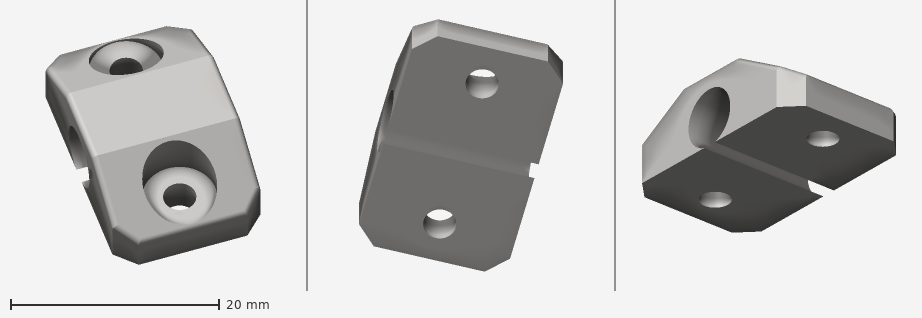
import cadquery as cq

length = 24.0
width = 15.0
height = 8.0

ridge_length = 8.0
end_height = 3.5

corner_chamfer = 2.0
rim_fillet = 0.6

bore_diameter = 6.2
bore_axis_height = 3.0

screw_spacing = 16.0
screw_diameter = 3.2
head_diameter = 7.2
head_seat_height = 3.5


def make_body():
    """Roofed profile run along Y, with chamfered corners and a rounded upper rim."""
    half_length = length / 2
    half_ridge = ridge_length / 2
    profile = [
        (-half_length, 0),
        (half_length, 0),
        (half_length, end_height),
        (half_ridge, height),
        (-half_ridge, height),
        (-half_length, end_height),
    ]
    body = cq.Workplane("XZ").polyline(profile).close().extrude(width / 2, both=True)
    body = body.edges("|Z").chamfer(corner_chamfer)

    rim = body.faces("#Z").edges("not(|Z or <Z)")
    return rim.fillet(rim_fillet)


def make_bore():
    """Cylinder that carries the clamped rod, running the full width."""
    return (
        cq.Workplane("XZ")
        .center(0, bore_axis_height)
        .circle(bore_diameter / 2)
        .extrude(width / 2, both=True)
    )


def make_screw_hole(x):
    """Through hole with a flat head seat that opens out through the sloped roof."""
    shank = cq.Workplane("XY").center(x, 0).circle(screw_diameter / 2).extrude(height)
    head = (
        cq.Workplane("XY", origin=(x, 0, head_seat_height))
        .circle(head_diameter / 2)
        .extrude(height - head_seat_height)
    )
    return shank.union(head)


result = make_body().cut(make_bore())
for side in (-1, 1):
    result = result.cut(make_screw_hole(side * screw_spacing / 2))